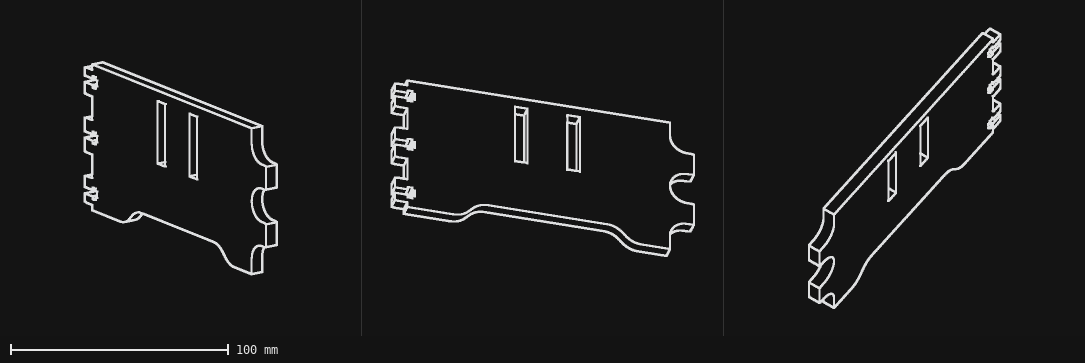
import cadquery as cq

LENGTH = 143.0
HEIGHT = 70.0
THICKNESS = 6.0
BODY_LEFT = 5.9
BODY_RIGHT = LENGTH - 11.5
TOP = HEIGHT / 2
BOTTOM = -TOP

TAB_TIP_DROP = 0.3
LEFT_TIP_LENGTH = 1.7
SLOT_PITCH = 26.7
MIDDLE_TAB_REACH = 8.3
OUTER_TAB_INNER_REACH = 7.2
OUTER_TAB_OUTER_REACH = 5.7
SCREW_SLOT_WIDTH = 3.0
SCREW_SLOT_DEPTH = 9.6
NUT_START = 6.1
NUT_THICKNESS = 2.3
NUT_WIDTH = 5.6

RIGHT_TIP_LENGTH = 1.3
RIGHT_TAB_INNER = 8.0
RIGHT_TAB_OUTER = 19.6
ARC_RADIUS = RIGHT_TAB_INNER

FEATURE_CENTER_X = 73.0
WINDOW_PITCH = 25.0
WINDOW_WIDTH = THICKNESS
WINDOW_HEIGHT = 30.0
WINDOW_CENTER_Z = WINDOW_HEIGHT / 2
RECESS_MOUTH = 81.5
RECESS_DEPTH = 8.2
RECESS_RADIUS = 10.0


def extrude_plate(sketch):
    """Extrude an XZ outline from Y = 0 to Y = THICKNESS."""
    return sketch.extrude(-THICKNESS)


def plate_box(x_start, x_end, z_center, height):
    """Full-thickness block spanning x_start to x_end."""
    center = ((x_start + x_end) / 2, z_center)
    return extrude_plate(cq.Workplane("XZ").center(*center).rect(x_end - x_start, height))


def body_with_recess():
    """Main rectangle with a 45-degree-sided, rounded recess in its lower edge."""
    half_mouth = RECESS_MOUTH / 2
    half_floor = half_mouth - RECESS_DEPTH
    recess_top = BOTTOM + RECESS_DEPTH
    outline = [
        (BODY_LEFT, TOP),
        (BODY_LEFT, BOTTOM),
        (FEATURE_CENTER_X - half_mouth, BOTTOM),
        (FEATURE_CENTER_X - half_floor, recess_top),
        (FEATURE_CENTER_X + half_floor, recess_top),
        (FEATURE_CENTER_X + half_mouth, BOTTOM),
        (BODY_RIGHT, BOTTOM),
        (BODY_RIGHT, TOP),
    ]
    body = extrude_plate(cq.Workplane("XZ").polyline(outline).close())
    margin = 1.5
    recess_corners = cq.selectors.BoxSelector(
        (FEATURE_CENTER_X - half_mouth - margin, -margin, BOTTOM - margin),
        (FEATURE_CENTER_X + half_mouth + margin, THICKNESS + margin, recess_top + margin),
    )
    return body.edges("|Y").edges(recess_corners).fillet(RECESS_RADIUS)


def left_tab(z_low, z_high):
    """Tab on the left edge with slightly tapered tip corners."""
    outline = [
        (BODY_LEFT, z_low),
        (LEFT_TIP_LENGTH, z_low),
        (0, z_low + TAB_TIP_DROP),
        (0, z_high - TAB_TIP_DROP),
        (LEFT_TIP_LENGTH, z_high),
        (BODY_LEFT, z_high),
    ]
    return extrude_plate(cq.Workplane("XZ").polyline(outline).close())


def right_tab():
    """Upper right tab with a quarter-round blend above and below it."""
    z_low = RIGHT_TAB_INNER
    z_high = RIGHT_TAB_OUTER
    arc_end = BODY_RIGHT + ARC_RADIUS
    tip_start = LENGTH - RIGHT_TIP_LENGTH
    sketch = (
        cq.Workplane("XZ")
        .moveTo(BODY_RIGHT, z_low - ARC_RADIUS)
        .radiusArc((arc_end, z_low), ARC_RADIUS)
        .lineTo(tip_start, z_low)
        .lineTo(LENGTH, z_low + TAB_TIP_DROP)
        .lineTo(LENGTH, z_high - TAB_TIP_DROP)
        .lineTo(tip_start, z_high)
        .lineTo(arc_end, z_high)
        .radiusArc((BODY_RIGHT, z_high + ARC_RADIUS), ARC_RADIUS)
        .close()
    )
    return extrude_plate(sketch)


def nut_slot(z_center):
    """Screw slot from the left edge, crossed by a captive-nut pocket."""
    screw = plate_box(0, SCREW_SLOT_DEPTH, z_center, SCREW_SLOT_WIDTH)
    nut = plate_box(NUT_START, NUT_START + NUT_THICKNESS, z_center, NUT_WIDTH)
    return screw.union(nut)


plate = body_with_recess()

upper_left_tab = left_tab(SLOT_PITCH - OUTER_TAB_INNER_REACH, SLOT_PITCH + OUTER_TAB_OUTER_REACH)
plate = plate.union(left_tab(-MIDDLE_TAB_REACH, MIDDLE_TAB_REACH))

for tab in (upper_left_tab, right_tab()):
    plate = plate.union(tab).union(tab.mirror("XY"))

for slot_z in (-SLOT_PITCH, 0, SLOT_PITCH):
    plate = plate.cut(nut_slot(slot_z))

for side in (-1, 1):
    window_x = FEATURE_CENTER_X + side * WINDOW_PITCH / 2
    window_left = window_x - WINDOW_WIDTH / 2
    window_right = window_x + WINDOW_WIDTH / 2
    plate = plate.cut(plate_box(window_left, window_right, WINDOW_CENTER_Z, WINDOW_HEIGHT))

result = plate